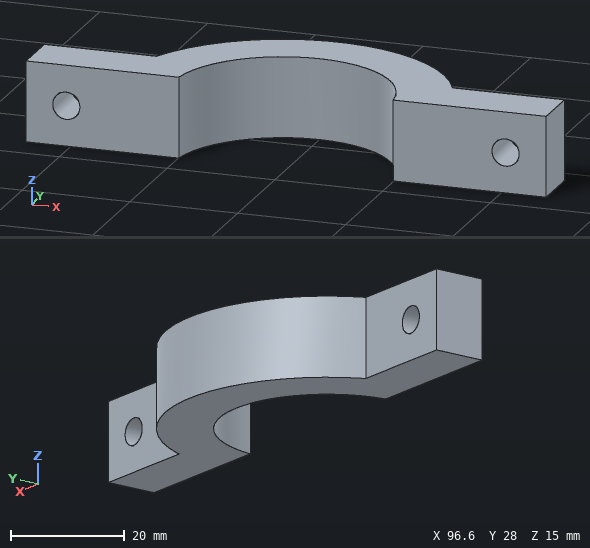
import cadquery as cq

clamp_length = 96.6
clamp_width = 15.0
ear_thickness = 10.0
overall_depth = 28.0
outer_radius = 30.0
bore_radius = 20.0
bolt_hole_diameter = 5.0
bolt_hole_edge_distance = 7.5

arch_center_y = overall_depth - outer_radius
bolt_x = clamp_length / 2 - bolt_hole_edge_distance


def cylinder_on_arch_axis(radius):
    return (
        cq.Workplane("XY")
        .center(0, arch_center_y)
        .circle(radius)
        .extrude(clamp_width)
    )


def block_from_mating_face(depth):
    return cq.Workplane("XY").box(
        clamp_length, depth, clamp_width, centered=(True, False, False)
    )


arch = cylinder_on_arch_axis(outer_radius).intersect(block_from_mating_face(overall_depth))

ears = block_from_mating_face(ear_thickness)
body = ears.union(arch).cut(cylinder_on_arch_axis(bore_radius))

bolt_holes = (
    cq.Workplane("XZ")
    .pushPoints([(-bolt_x, clamp_width / 2), (bolt_x, clamp_width / 2)])
    .circle(bolt_hole_diameter / 2)
    .extrude(-ear_thickness)
)

result = body.cut(bolt_holes)